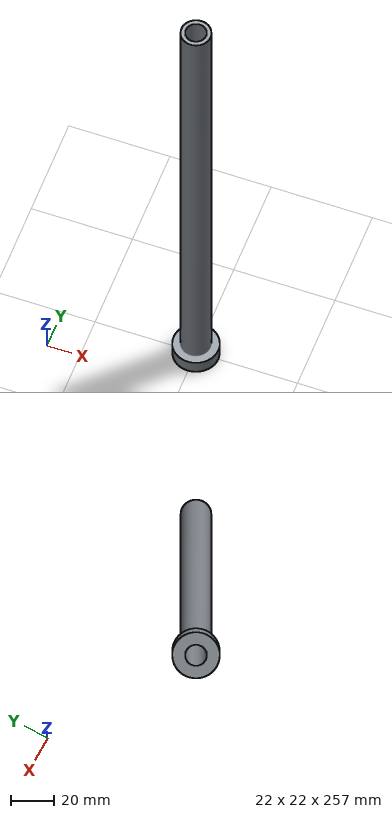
import cadquery as cq

total_length = 257.0
head_diameter = 22.0
head_thickness = 7.2
shaft_diameter = 14.5
bore_diameter = 10.0
neck_fillet = 0.5


def cylinder(diameter, height):
    """Upright cylinder standing on the bottom plane, centred on the Z axis."""
    return cq.Workplane("XY").circle(diameter / 2).extrude(height)


head = cylinder(head_diameter, head_thickness)
shaft = cylinder(shaft_diameter, total_length)
bore = cylinder(bore_diameter, total_length)

body = head.union(shaft)
body = body.faces("|Z").faces(cq.selectors.CenterNthSelector(cq.Vector(0, 0, 1), 1))
body = body.edges(cq.selectors.RadiusNthSelector(0)).fillet(neck_fillet)

result = body.cut(bore)